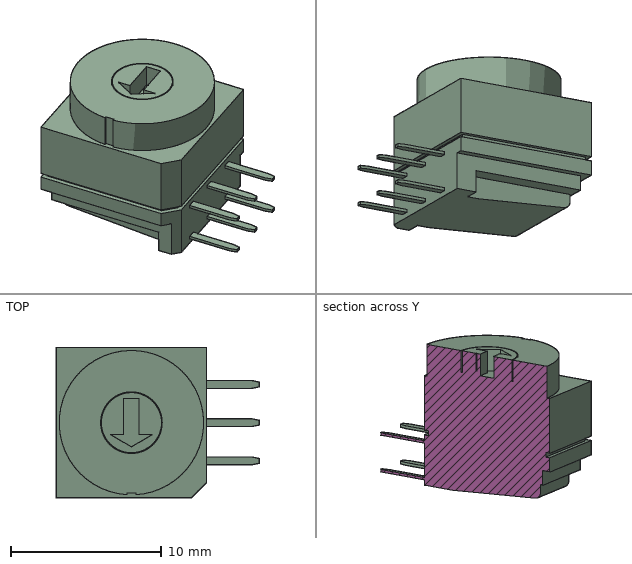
import cadquery as cq
import math

body_size = 10.0
half_body = body_size / 2
corner_chamfer = 1.0
bottom_z = 0.0
step_z = 1.5
flange_bottom_z = 2.5
flange_top_z = 3.5
cap_bottom_z = 3.8
cap_top_z = 7.6
knob_top_z = 9.8
groove_depth = 0.3

base_left_x = -4.45
base_width = 9.0
foot_left_x = 3.55

pad_left_x = -4.28
pad_width = 6.75
pad_slope_end_x = 2.75
pad_slope_start_z = 0.53
pad_corner_radius = 0.5

knob_diameter = 9.6
notch_width = 0.6
notch_depth = 0.13
rotor_diameter = 4.0
rotor_gap_diameter = 4.1

arrow_length = 3.22
arrow_head_length = 0.81
arrow_head_width = 2.76
arrow_stem_width = 1.04
recess_depth = 1.5

pin_pitch = 2.54
pin_columns = (-1, 0, 1)
pin_rows = (0, 1)
lower_pin_z = 0.46
pin_length = 3.5
pin_width = 0.54
pin_thickness = 0.2
pin_taper_length = 0.5
pin_tip_width = 0.33


def block(x_min, x_max, width, z_min, z_max):
    """Box centred on Y, given by its X range, Y width and Z range."""
    start = cq.Workplane("XY", origin=(x_min, 0, z_min))
    return start.box(x_max - x_min, width, z_max - z_min, centered=(False, True, False))


def chamfered_square(inset, z_min, z_max):
    """Square prism, inset evenly from the housing outline with its one chamfered corner."""
    half = half_body - inset
    chamfer = corner_chamfer - inset * (2 - math.sqrt(2))
    prism = block(-half, half, 2 * half, z_min, z_max)
    return prism.edges("|Z and >X and <Y").chamfer(chamfer)


def make_housing():
    cap = chamfered_square(0, cap_bottom_z, cap_top_z)
    neck = chamfered_square(groove_depth, flange_top_z, cap_bottom_z)
    flange = chamfered_square(0, flange_bottom_z, flange_top_z)
    base = block(base_left_x, half_body, base_width, step_z, flange_bottom_z)
    foot = block(foot_left_x, half_body, base_width, bottom_z, step_z)
    outline = chamfered_square(0, bottom_z, flange_bottom_z)
    lower = base.union(foot).intersect(outline)
    return cap.union(neck).union(flange).union(lower)


def make_pad():
    """Wedge that falls from its rounded -X end to the bottom of the foot."""
    profile = [
        (pad_left_x, step_z),
        (pad_left_x, pad_slope_start_z),
        (pad_slope_end_x, bottom_z),
        (foot_left_x, bottom_z),
        (foot_left_x, step_z),
    ]
    wedge = cq.Workplane("XZ").polyline(profile).close().extrude(pad_width / 2, both=True)
    lower_left_edge = cq.selectors.NearestToPointSelector((pad_left_x, 0, pad_slope_start_z))
    return wedge.edges("|Y").edges(lower_left_edge).fillet(pad_corner_radius)


def make_knob():
    knob_radius = knob_diameter / 2
    knob_height = knob_top_z - cap_top_z
    knob = cq.Workplane("XY", origin=(0, 0, cap_top_z)).circle(knob_radius).extrude(knob_height)
    notch = block(-notch_width / 2, notch_width / 2, 2 * notch_depth, cap_top_z, knob_top_z)
    return knob.cut(notch.translate((0, -knob_radius, 0)))


def make_rotor_gap():
    top = cq.Workplane("XY", origin=(0, 0, knob_top_z))
    return top.circle(rotor_gap_diameter / 2).circle(rotor_diameter / 2).extrude(-recess_depth)


def make_arrow():
    tip_y = -arrow_length / 2
    shoulder_y = tip_y + arrow_head_length
    half_stem = arrow_stem_width / 2
    half_head = arrow_head_width / 2
    outline = [
        (-half_stem, arrow_length / 2),
        (half_stem, arrow_length / 2),
        (half_stem, shoulder_y),
        (half_head, shoulder_y),
        (0, tip_y),
        (-half_head, shoulder_y),
        (-half_stem, shoulder_y),
    ]
    top = cq.Workplane("XY", origin=(0, 0, knob_top_z))
    return top.polyline(outline).close().extrude(-recess_depth)


def make_pin(y, z):
    """Flat pin with a tapered tip, centred on the given Y and Z."""
    tip_x = half_body + pin_length
    taper_x = tip_x - pin_taper_length
    outline = [
        (half_body, -pin_width / 2),
        (taper_x, -pin_width / 2),
        (tip_x, -pin_tip_width / 2),
        (tip_x, pin_tip_width / 2),
        (taper_x, pin_width / 2),
        (half_body, pin_width / 2),
    ]
    plane = cq.Workplane("XY", origin=(0, y, z - pin_thickness / 2))
    return plane.polyline(outline).close().extrude(pin_thickness)


result = make_housing().union(make_pad()).union(make_knob())
result = result.cut(make_rotor_gap()).cut(make_arrow())
for row in pin_rows:
    for column in pin_columns:
        result = result.union(make_pin(column * pin_pitch, lower_pin_z + row * pin_pitch))